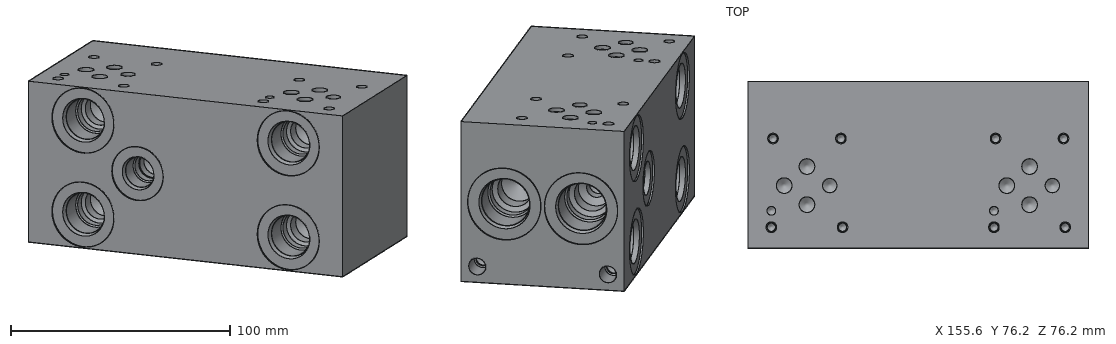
import cadquery as cq
import math

LENGTH = 155.57
WIDTH = 76.2
HEIGHT = 76.2

STATION_SPACING = 101.6
FIRST_STATION_X = (LENGTH - STATION_SPACING) / 2
STATIONS_X = (FIRST_STATION_X, FIRST_STATION_X + STATION_SPACING)

INTO_FRONT = cq.Vector(0, 1, 0)
INTO_LEFT = cq.Vector(1, 0, 0)
INTO_TOP = cq.Vector(0, 0, -1)

DRILL_POINT_ANGLE = 118.0
POINT_SLOPE = 1 / math.tan(math.radians(DRILL_POINT_ANGLE / 2))

SPOTFACE_DEPTH = 0.8
SEAT_DEPTH = 2.5
WORK_PORT = dict(spotface=30.63, seat_top=20.6, seat_bottom=19.25, thread=19.05, tap_drill=17.5,
                 thread_depth=14.3, tap_depth=19.0, pilot=14.3, pilot_depth=26.0)
SUPPLY_PORT = dict(spotface=34.14, seat_top=23.9, seat_bottom=22.55, thread=22.23, tap_drill=20.45,
                   thread_depth=16.7, tap_depth=22.0, pilot=15.88, pilot_depth=32.0)
GAUGE_PORT = dict(spotface=25.4, seat_top=15.6, seat_bottom=14.5, thread=14.3, tap_drill=12.9,
                  thread_depth=12.0, tap_depth=17.0, pilot=12.1, pilot_depth=22.0)

WORK_PORT_OFFSET_Z = 22.23
GAUGE_PORT_X = 53.98
SUPPLY_PORT_OFFSET_Y = 17.9
PRESSURE_FEED_DIAMETER = 9.0
PRESSURE_FEED_DEPTH = 40.0

END_HOLE_INSET = 7.62
END_HOLE_THREAD = 7.92
END_HOLE_TAP_DRILL = 6.53
END_HOLE_THREAD_DEPTH = 12.0
END_HOLE_TAP_DEPTH = 13.5

PATTERN_CENTRE_Y = 28.6
WORK_HOLE_OFFSET_Y = 8.7
PRESSURE_TANK_OFFSET_X = 10.4
VALVE_HOLE = 7.14
PRESSURE_HOLE = 6.53
VALVE_HOLE_DEPTH = 1.8
BOLT_THREAD = 4.83
BOLT_TAP_DRILL = 3.79
BOLT_THREAD_DEPTH = 12.0
BOLT_TAP_DEPTH = 15.0
REAR_BOLT_OFFSET_X = 15.5
FRONT_BOLT_OFFSET_X = 16.25
REAR_BOLT_OFFSET_Y = 21.5
BOLT_PITCH_Y = 40.5
PIN_HOLE = 3.97
PIN_HOLE_DEPTH = 4.0
PIN_OFFSET_X = 16.25
PIN_OFFSET_Y = 11.5


def revolved_cutter(mouth, inward, profile):
    """Turn (radius, depth) points about the hole axis; mouth is the hole centre on the face."""
    radial = cq.Vector(inward.z, inward.x, inward.y)
    plane = cq.Plane(origin=mouth, xDir=radial, normal=radial.cross(inward))
    return cq.Workplane(plane).polyline([(0, 0)] + profile).close().revolve(360, (0, 0), (0, 1))


def drilled_steps(steps):
    """Profile of drillings from wide to narrow, each (diameter, depth) ending in a drill point."""
    profile = [(steps[0][0] / 2, 0)]
    for (diameter, depth), following in zip(steps, steps[1:] + [(0, 0)]):
        radius = diameter / 2
        next_radius = following[0] / 2
        profile.append((radius, depth))
        profile.append((next_radius, depth + (radius - next_radius) * POINT_SLOPE))
    return profile


def o_ring_port(mouth, inward, port, feed=()):
    """Cutter for a port; feed lists further (diameter, depth) drillings below the pilot."""
    steps = [
        (port["thread"], port["thread_depth"]),
        (port["tap_drill"], port["tap_depth"]),
        (port["pilot"], port["pilot_depth"]),
    ]
    steps.extend(feed)
    seat_end = SPOTFACE_DEPTH + SEAT_DEPTH
    opening = [
        (port["spotface"] / 2, 0),
        (port["spotface"] / 2, SPOTFACE_DEPTH),
        (port["seat_top"] / 2, SPOTFACE_DEPTH),
        (port["seat_bottom"] / 2, seat_end),
        (port["thread"] / 2, seat_end),
    ]
    return revolved_cutter(mouth, inward, opening + drilled_steps(steps)[1:])


def blind_hole(mouth, inward, *steps):
    """Cutter for a hole drilled in one or more (diameter, depth) steps, widest first."""
    return revolved_cutter(mouth, inward, drilled_steps(list(steps)))


def front_port_cutters():
    cutters = [o_ring_port((GAUGE_PORT_X, 0, HEIGHT / 2), INTO_FRONT, GAUGE_PORT)]
    for x in STATIONS_X:
        for side in (-1, 1):
            mouth = (x, 0, HEIGHT / 2 + side * WORK_PORT_OFFSET_Z)
            cutters.append(o_ring_port(mouth, INTO_FRONT, WORK_PORT))
    return cutters


def left_end_cutters():
    pressure_mouth = (0, WIDTH / 2 - SUPPLY_PORT_OFFSET_Y, HEIGHT / 2)
    tank_mouth = (0, WIDTH / 2 + SUPPLY_PORT_OFFSET_Y, HEIGHT / 2)
    pressure_feed = [(PRESSURE_FEED_DIAMETER, PRESSURE_FEED_DEPTH)]
    cutters = [
        o_ring_port(pressure_mouth, INTO_LEFT, SUPPLY_PORT, pressure_feed),
        o_ring_port(tank_mouth, INTO_LEFT, SUPPLY_PORT),
    ]
    thread = (END_HOLE_THREAD, END_HOLE_THREAD_DEPTH)
    tap_drill = (END_HOLE_TAP_DRILL, END_HOLE_TAP_DEPTH)
    for y in (END_HOLE_INSET, WIDTH - END_HOLE_INSET):
        cutters.append(blind_hole((0, y, END_HOLE_INSET), INTO_LEFT, thread, tap_drill))
    return cutters


def valve_pattern_cutters(station_x):
    def top_point(offset_x, offset_y):
        return (station_x + offset_x, PATTERN_CENTRE_Y + offset_y, HEIGHT)

    valve_hole = (VALVE_HOLE, VALVE_HOLE_DEPTH)
    cutters = [
        blind_hole(top_point(-PRESSURE_TANK_OFFSET_X, 0), INTO_TOP, valve_hole),
        blind_hole(top_point(PRESSURE_TANK_OFFSET_X, 0), INTO_TOP, (PRESSURE_HOLE, VALVE_HOLE_DEPTH)),
        blind_hole(top_point(-PIN_OFFSET_X, -PIN_OFFSET_Y), INTO_TOP, (PIN_HOLE, PIN_HOLE_DEPTH)),
    ]
    front_bolt_offset_y = REAR_BOLT_OFFSET_Y - BOLT_PITCH_Y
    thread = (BOLT_THREAD, BOLT_THREAD_DEPTH)
    tap_drill = (BOLT_TAP_DRILL, BOLT_TAP_DEPTH)
    for side in (-1, 1):
        cutters.append(blind_hole(top_point(0, side * WORK_HOLE_OFFSET_Y), INTO_TOP, valve_hole))
        rear_bolt = top_point(side * REAR_BOLT_OFFSET_X, REAR_BOLT_OFFSET_Y)
        front_bolt = top_point(side * FRONT_BOLT_OFFSET_X, front_bolt_offset_y)
        for mouth in (rear_bolt, front_bolt):
            cutters.append(blind_hole(mouth, INTO_TOP, thread, tap_drill))
    return cutters


cutters = front_port_cutters() + left_end_cutters()
for station_x in STATIONS_X:
    cutters += valve_pattern_cutters(station_x)

result = cq.Workplane("XY").box(LENGTH, WIDTH, HEIGHT, centered=False)
for cutter in cutters:
    result = result.cut(cutter)